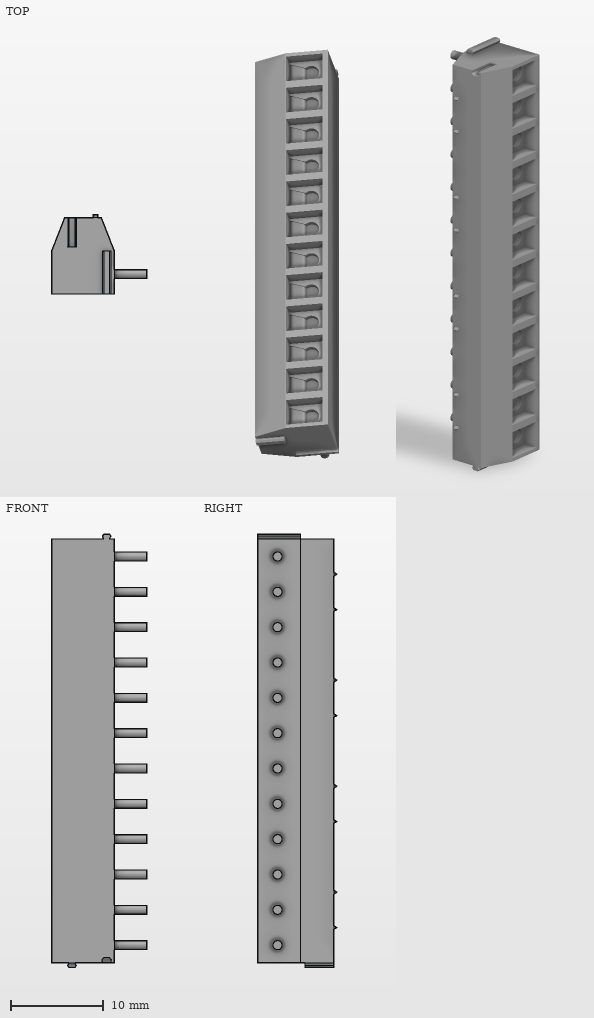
import cadquery as cq


POLES = 12
ROW_LENGTH = 45.7
PITCH = ROW_LENGTH / POLES
BODY_WIDTH = 6.77
BODY_HEIGHT = 8.2
WAIST_HEIGHT = 4.63
SHOULDER_INSET = 1.4

PIN_DIAMETER = 1.0
PIN_LENGTH = 3.5
POLE_AXIS_Y = 2.15

POCKET_DEPTH = 1.5
POCKET_LENGTH = 3.0
POCKET_BOTTOM = 0.55
POCKET_TOP = 4.6
POCKET_DRAFT = 0.15

KEYHOLE_DEPTH = 0.55
SCREW_DIAMETER = 1.8
FUNNEL_TOP = POCKET_TOP - POCKET_DRAFT
FUNNEL_MOUTH = 2.6
FUNNEL_NECK = 1.4
LEAF_BOTTOM = 2.7
LEAF_HEIGHT = 0.445
LEAF_EDGE_RADIUS = 0.4

FRONT_JOINT_X = 5.95
REAR_JOINT_X = 2.2
FRONT_RAIL_TOP = WAIST_HEIGHT
REAR_RAIL_BOTTOM = 5.1
RAIL_NECK = 0.65
RAIL_WAIST = 0.95
RAIL_CREST = 0.6
RAIL_HEIGHT = 0.5
GROOVE_NECK = 0.9
GROOVE_WAIST = 1.05
GROOVE_FLOOR = 0.6
GROOVE_DEPTH = 0.55
WAIST_FRACTION = 0.6

RIDGE_GROUP = 3
RIDGE_START = 4.5
RIDGE_LENGTH = 0.5
RIDGE_HEIGHT = 0.35
RIDGE_BASE = 0.4


def pole_center(index):
    return (index + 0.5) * PITCH


def make_housing():
    outline = [
        (0, 0),
        (BODY_WIDTH, 0),
        (BODY_WIDTH, WAIST_HEIGHT),
        (BODY_WIDTH - SHOULDER_INSET, BODY_HEIGHT),
        (SHOULDER_INSET, BODY_HEIGHT),
        (0, WAIST_HEIGHT),
    ]
    return cq.Workplane("XY").polyline(outline).close().extrude(ROW_LENGTH)


def make_pin(z):
    return (
        cq.Workplane("YZ", origin=(BODY_WIDTH, POLE_AXIS_Y, z))
        .circle(PIN_DIAMETER / 2)
        .extrude(PIN_LENGTH)
    )


def make_pocket(z):
    """Entry pocket whose upper and lower walls close in towards its floor."""
    profile = [
        (0, POCKET_BOTTOM),
        (POCKET_DEPTH, POCKET_BOTTOM + POCKET_DRAFT),
        (POCKET_DEPTH, POCKET_TOP - POCKET_DRAFT),
        (0, POCKET_TOP),
    ]
    start = z - POCKET_LENGTH / 2
    return cq.Workplane("XY", origin=(0, 0, start)).polyline(profile).close().extrude(POCKET_LENGTH)


def make_funnel(z):
    """Flared upper part of the keyhole."""
    outline = [
        (LEAF_BOTTOM, -FUNNEL_NECK / 2),
        (FUNNEL_TOP, -FUNNEL_MOUTH / 2),
        (FUNNEL_TOP, FUNNEL_MOUTH / 2),
        (LEAF_BOTTOM, FUNNEL_NECK / 2),
    ]
    plane = cq.Workplane("YZ", origin=(POCKET_DEPTH, 0, z))
    return plane.polyline(outline).close().extrude(KEYHOLE_DEPTH)


def make_screw_recess(z):
    plane = cq.Workplane("YZ", origin=(POCKET_DEPTH, POLE_AXIS_Y, z))
    return plane.circle(SCREW_DIAMETER / 2).extrude(KEYHOLE_DEPTH)


def make_leaf(z):
    """Clamp leaf filling the funnel, with its upper and lower edges rounded."""
    start = (POCKET_DEPTH + KEYHOLE_DEPTH - LEAF_HEIGHT, LEAF_BOTTOM, z - FUNNEL_MOUTH / 2)
    block = (
        cq.Workplane("XY", origin=start)
        .box(LEAF_HEIGHT, FUNNEL_TOP - LEAF_BOTTOM, FUNNEL_MOUTH, centered=False)
        .edges("|Z and <X")
        .fillet(LEAF_EDGE_RADIUS)
    )
    return block.intersect(make_funnel(z))


def make_joint(x, bottom, top, z_base, z_end, neck, waist, crest):
    """Barrel-shaped bar along Y, reaching from z_base on an end face to z_end."""
    z_waist = z_base + WAIST_FRACTION * (z_end - z_base)
    section = [
        (x - neck / 2, z_base),
        (x - waist / 2, z_waist),
        (x - crest / 2, z_end),
        (x + crest / 2, z_end),
        (x + waist / 2, z_waist),
        (x + neck / 2, z_base),
    ]
    return cq.Workplane("XZ", origin=(0, bottom, 0)).polyline(section).close().extrude(bottom - top)


def make_rail(x, bottom, top, z_base, direction):
    z_end = z_base + direction * RAIL_HEIGHT
    return make_joint(x, bottom, top, z_base, z_end, RAIL_NECK, RAIL_WAIST, RAIL_CREST)


def make_groove(x, bottom, top, z_base, direction):
    z_end = z_base + direction * GROOVE_DEPTH
    return make_joint(x, bottom, top, z_base, z_end, GROOVE_NECK, GROOVE_WAIST, GROOVE_FLOOR)


def make_ridge(z):
    section = [
        (BODY_HEIGHT, z - RIDGE_BASE / 2),
        (BODY_HEIGHT + RIDGE_HEIGHT, z),
        (BODY_HEIGHT, z + RIDGE_BASE / 2),
    ]
    plane = cq.Workplane("YZ", origin=(RIDGE_START, 0, 0))
    return plane.polyline(section).close().extrude(RIDGE_LENGTH)


result = make_housing()

for pole in range(POLES):
    center = pole_center(pole)
    result = result.union(make_pin(center))
    result = result.cut(make_pocket(center))
    result = result.cut(make_funnel(center).union(make_screw_recess(center)))
    result = result.union(make_leaf(center))

result = result.union(make_rail(FRONT_JOINT_X, 0, FRONT_RAIL_TOP, ROW_LENGTH, 1))
result = result.cut(make_groove(FRONT_JOINT_X, 0, FRONT_RAIL_TOP, 0, 1))
result = result.union(make_rail(REAR_JOINT_X, REAR_RAIL_BOTTOM, BODY_HEIGHT, 0, -1))
result = result.cut(make_groove(REAR_JOINT_X, REAR_RAIL_BOTTOM, BODY_HEIGHT, ROW_LENGTH, -1))

for boundary in range(1, POLES):
    if boundary % RIDGE_GROUP != 0:
        result = result.union(make_ridge(boundary * PITCH))